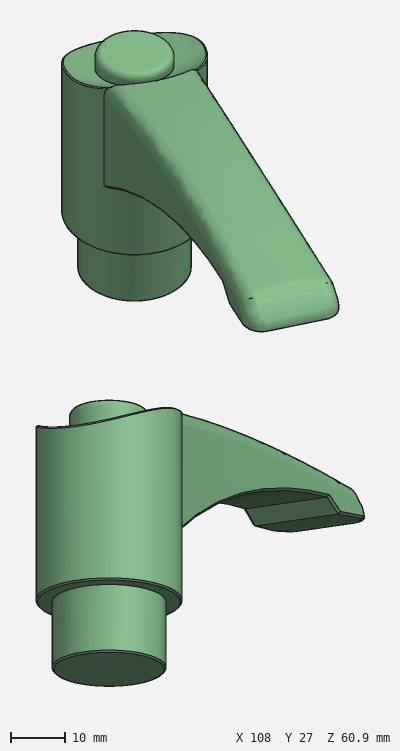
import cadquery as cq
import math

overall_length = 108.0
overall_height = 60.9
hub_diameter = 27.0
stud_diameter = 21.0
stud_length = 13.1
button_diameter = 14.7
button_top_diameter = 11.9
button_height = 50.3
edge_chamfer = 0.3
edge_tolerance = 0.1

dish_floor = 46.1
dish_slope = 10.5
dish_section_radius = 32.4
dish_rise_radius = 19.4
dish_rise_start = 2.2
dish_rise_angle = 45.0
dish_half_width = 15.1
dish_depth = 12.4

root_half_width = 9.4
waist_half_width = 8.3
end_half_width = 9.3
tip_half_width = 5.8
crown_radius = 64.8
shoulder_radius = 2.8
lower_edge_chamfer = 0.4
waist_x = 48.6
end_x = 90.6

hub_radius = hub_diameter / 2
tip_x = overall_length - hub_radius
handle_start_x = 6.5
top_end = (87.4, overall_height)
top_middle = (waist_x, 58.7)
top_start = (13.7, 53.5)
tip_upper = (tip_x, 56.2)
tip_lower = (tip_x - 0.9, 55.4)
tip_shoulder = (90.9, 59.4)
tip_top = (86.9, 61.5)
finger_stop = (81.9, 53.1)
finger_notch = (77.3, 55.1)
underside_middle = (40.6, 44.7)
underside_start = (handle_start_x, 25.6)


def circle_center(a, b, c):
    """Center of the circle through three points."""
    d = 2 * (a[0] * (b[1] - c[1]) + b[0] * (c[1] - a[1]) + c[0] * (a[1] - b[1]))
    sa, sb, sc = (p[0] ** 2 + p[1] ** 2 for p in (a, b, c))
    x = (sa * (b[1] - c[1]) + sb * (c[1] - a[1]) + sc * (a[1] - b[1])) / d
    y = (sa * (c[0] - b[0]) + sb * (a[0] - c[0]) + sc * (b[0] - a[0])) / d
    return x, y


def arc_height(radius, half_width):
    """Height of a circular arc over a chord of the given half width."""
    return radius - math.sqrt(radius ** 2 - half_width ** 2)


def make_crown():
    """Ring turned about the center of the top arc, with a rim curved across the width."""
    center_x, center_z = circle_center(top_start, top_middle, top_end)
    top_radius = math.dist((center_x, center_z), top_end)
    half_width = hub_radius
    drop = arc_height(crown_radius, half_width)
    inner_radius = top_radius - tip_top[1]
    return (
        cq.Workplane("XY", origin=(center_x, 0, center_z))
        .moveTo(inner_radius, -half_width)
        .lineTo(top_radius - drop, -half_width)
        .threePointArc((top_radius, 0), (top_radius - drop, half_width))
        .lineTo(inner_radius, half_width)
        .close()
        .revolve(360, (0, 0, 0), (0, 1, 0))
    )


def make_plan_body():
    """Plan outline of the handle as a full-height prism."""
    return (
        cq.Workplane("XY")
        .moveTo(handle_start_x, 0)
        .lineTo(handle_start_x, root_half_width)
        .threePointArc((waist_x, waist_half_width), (end_x, end_half_width))
        .tangentArcPoint((tip_x, tip_half_width), relative=False)
        .lineTo(tip_x, 0)
        .mirrorX()
        .extrude(tip_top[1] + 1.1)
    )


def is_shoulder_edge(edge):
    """Sloping edges around the top and tip faces, but not the end inside the hub."""
    box = edge.BoundingBox()
    vertical_or_level = max(box.xlen, box.ylen) < edge_tolerance or box.zlen < edge_tolerance
    outside_hub = box.xmax > hub_radius
    return not vertical_or_level and box.zmax > tip_upper[1] + edge_tolerance and outside_hub


def is_underside_edge(edge):
    """Edges along both sides of the underside, up to the start of the tip."""
    box = edge.BoundingBox()
    along_side = box.xlen > edge_tolerance and abs(edge.Center().y) > edge_tolerance
    return along_side and box.zmax < tip_upper[1] and box.xmin < tip_lower[0] - edge_tolerance


def make_upper_body():
    """Plan outline under the crowned top and the tip curve, with rounded shoulders."""
    below_tip_curve = (
        cq.Workplane("XZ")
        .moveTo(handle_start_x, 0)
        .lineTo(tip_x, 0)
        .lineTo(*tip_upper)
        .threePointArc(tip_shoulder, tip_top)
        .lineTo(handle_start_x, tip_top[1])
        .close()
        .extrude(hub_radius, both=True)
    )
    body = make_plan_body().intersect(below_tip_curve).intersect(make_crown())
    shoulder_edges = [edge for edge in body.edges().vals() if is_shoulder_edge(edge)]
    return body.newObject(shoulder_edges).fillet(shoulder_radius)


def make_lower_body():
    """Plan outline above the curved underside, with chamfered lower edges."""
    above_underside = (
        cq.Workplane("XZ")
        .moveTo(*underside_start)
        .threePointArc(underside_middle, finger_notch)
        .lineTo(*finger_stop)
        .lineTo(*tip_lower)
        .lineTo(tip_x, tip_upper[1] - 2 * lower_edge_chamfer)
        .lineTo(tip_x, tip_top[1])
        .lineTo(handle_start_x, tip_top[1])
        .close()
        .extrude(hub_radius, both=True)
    )
    body = make_plan_body().intersect(above_underside)
    underside_edges = [edge for edge in body.edges().vals() if is_underside_edge(edge)]
    return body.newObject(underside_edges).chamfer(lower_edge_chamfer)


def make_handle():
    return make_upper_body().intersect(make_lower_body())


def make_dish():
    """Curved trough, limited to the hub diameter."""
    slope = math.radians(dish_slope)
    end_angle = math.radians(dish_slope + dish_rise_angle)
    middle_angle = (slope + end_angle) / 2
    start_x = -hub_radius - dish_depth
    rise_z = dish_floor + dish_rise_start * math.tan(slope)
    start_z = dish_floor + start_x * math.tan(slope)

    def rise_point(angle):
        return (
            dish_rise_start + dish_rise_radius * (math.sin(angle) - math.sin(slope)),
            rise_z + dish_rise_radius * (math.cos(slope) - math.cos(angle)),
        )

    path = (
        cq.Workplane("XZ")
        .moveTo(start_x, start_z)
        .lineTo(dish_rise_start, rise_z)
        .threePointArc(rise_point(middle_angle), rise_point(end_angle))
    )
    side_height = arc_height(dish_section_radius, dish_half_width)
    section_plane = cq.Plane(
        origin=(start_x, 0, start_z),
        xDir=(0, 1, 0),
        normal=(math.cos(slope), 0, math.sin(slope)),
    )
    trough = (
        cq.Workplane(section_plane)
        .moveTo(-dish_half_width, side_height)
        .threePointArc((0, 0), (dish_half_width, side_height))
        .lineTo(dish_half_width, dish_depth)
        .lineTo(-dish_half_width, dish_depth)
        .close()
        .sweep(path)
    )
    return trough.intersect(cq.Workplane("XY").circle(hub_radius).extrude(overall_height))


def make_hub():
    hub_top = top_start[1]
    return (
        cq.Workplane("XY", origin=(0, 0, stud_length))
        .circle(hub_radius)
        .extrude(hub_top - stud_length)
        .faces("<Z")
        .chamfer(edge_chamfer)
    )


def is_rim_edge(edge):
    """Edges where the dish meets the outer wall of the hub."""
    on_wall = all(
        math.hypot(point.x, point.y) > hub_radius - edge_tolerance
        for point in (edge.positionAt(0), edge.positionAt(0.5), edge.positionAt(1))
    )
    box = edge.BoundingBox()
    return on_wall and box.zmin > stud_length + 1.1 and min(box.xlen, box.ylen) > edge_tolerance


def break_rim(hub):
    rim_edges = [edge for edge in hub.edges().vals() if is_rim_edge(edge)]
    return hub.newObject(rim_edges).chamfer(edge_chamfer)


def make_stud():
    return (
        cq.Workplane("XY")
        .circle(stud_diameter / 2)
        .extrude(stud_length)
        .faces("<Z")
        .chamfer(edge_chamfer)
    )


def make_button():
    button_base = stud_length
    return (
        cq.Workplane("XY", origin=(0, 0, button_base))
        .circle(button_diameter / 2)
        .extrude(button_height - button_base)
        .faces(">Z")
        .edges()
        .fillet((button_diameter - button_top_diameter) / 2)
    )


dish = make_dish()
hub = break_rim(make_hub().cut(dish))
lever = hub.union(make_handle().cut(dish))
result = lever.union(make_stud()).union(make_button())